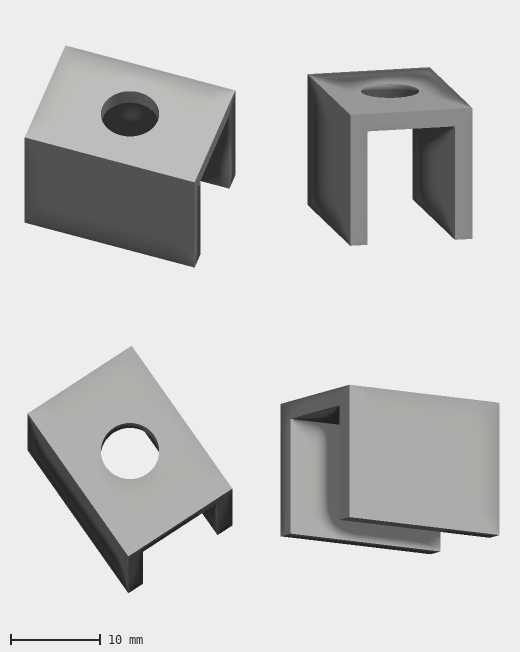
import cadquery as cq

length = 20.0
width = 14.0
height = 15.0

wall = 2.0
hole_diameter = 6.5

block = cq.Workplane("XY").box(length, width, height, centered=(True, True, False))

slot = cq.Workplane("XY").box(
    length, width - 2 * wall, height - wall, centered=(True, True, False)
)
channel = block.cut(slot)

hole = cq.Workplane("XY").circle(hole_diameter / 2).extrude(height)

result = channel.cut(hole)